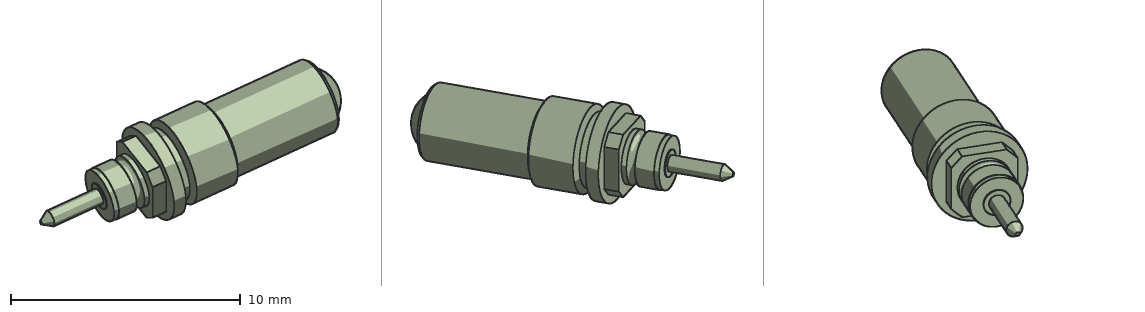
import cadquery as cq
import math

overall_length = 15.0

pin_radius = 0.38
pin_tip_radius = 0.09
pin_tip_length = 0.46
pin_end = 2.94

insulator_radius = 0.62
insulator_height = 0.05

plug_diameter = 2.48
plug_radius = plug_diameter / 2
plug_front_radius = 1.22
plug_start = pin_end + insulator_height
plug_front_length = 0.24
plug_length = 1.77
groove_depth = 0.18
groove_width = 0.39
groove_distance = 1.34
groove_center = plug_start + groove_distance

wrench_start = plug_start + plug_length
wrench_length = 0.69
wrench_width = 3.03
wrench_corner_cut = 0.5

flange_start = wrench_start + wrench_length
flange_diameter = 4.4
flange_radius = flange_diameter / 2
flange_thickness = 0.6

neck_diameter = 3.4
neck_radius = neck_diameter / 2
neck_length = 0.5
collar_diameter = 4.0
collar_radius = collar_diameter / 2
collar_length = 2.08
sleeve_radius = 1.74
cone_run_per_rise = math.tan(math.radians(30))

dome_radius = 1.5
dome_height = 0.84
sleeve_end = overall_length - dome_height
sleeve_chamfer_length = 0.14
sleeve_chamfer_depth = 0.1


def dome_half_width(height_below_top):
    """Radius of the spherical dome at a given distance below its top."""
    return math.sqrt(dome_radius**2 - (dome_radius - height_below_top) ** 2)


def make_pin_and_plug():
    plug_front_end = plug_start + plug_front_length
    groove_start = groove_center - groove_width / 2
    groove_end = groove_center + groove_width / 2
    groove_floor = plug_radius - groove_depth
    profile = (
        cq.Workplane("XY")
        .moveTo(0, 0)
        .lineTo(pin_tip_radius, 0)
        .lineTo(pin_radius, pin_tip_length)
        .lineTo(pin_radius, pin_end)
        .lineTo(insulator_radius, pin_end)
        .lineTo(insulator_radius, plug_start)
        .lineTo(plug_front_radius, plug_start)
        .lineTo(plug_front_radius, plug_front_end)
        .lineTo(plug_radius, plug_front_end)
        .lineTo(plug_radius, groove_start)
        .threePointArc((groove_floor, groove_center), (plug_radius, groove_end))
        .lineTo(plug_radius, wrench_start)
        .lineTo(0, wrench_start)
        .close()
    )
    return profile.revolve(360, (0, 0, 0), (0, 1, 0))


def make_wrench_section():
    section = cq.Workplane("XY").box(wrench_width, wrench_length, wrench_width)
    section = section.edges("|Y").chamfer(wrench_corner_cut)
    return section.translate((0, wrench_start + wrench_length / 2, 0))


def make_flange_to_dome():
    neck_start = flange_start + flange_thickness
    neck_end = neck_start + neck_length
    collar_start = neck_end + (collar_radius - neck_radius) * cone_run_per_rise
    collar_end = collar_start + collar_length
    sleeve_start = collar_end + (collar_radius - sleeve_radius) * cone_run_per_rise
    profile = (
        cq.Workplane("XY")
        .moveTo(0, flange_start)
        .lineTo(flange_radius, flange_start)
        .lineTo(flange_radius, neck_start)
        .lineTo(neck_radius, neck_start)
        .lineTo(neck_radius, neck_end)
        .lineTo(collar_radius, collar_start)
        .lineTo(collar_radius, collar_end)
        .lineTo(sleeve_radius, sleeve_start)
        .lineTo(sleeve_radius, sleeve_end - sleeve_chamfer_length)
        .lineTo(sleeve_radius - sleeve_chamfer_depth, sleeve_end)
        .lineTo(dome_half_width(dome_height), sleeve_end)
        .threePointArc(
            (dome_half_width(dome_height / 2), overall_length - dome_height / 2),
            (0, overall_length),
        )
        .close()
    )
    return profile.revolve(360, (0, 0, 0), (0, 1, 0))


result = make_pin_and_plug().union(make_wrench_section()).union(make_flange_to_dome())